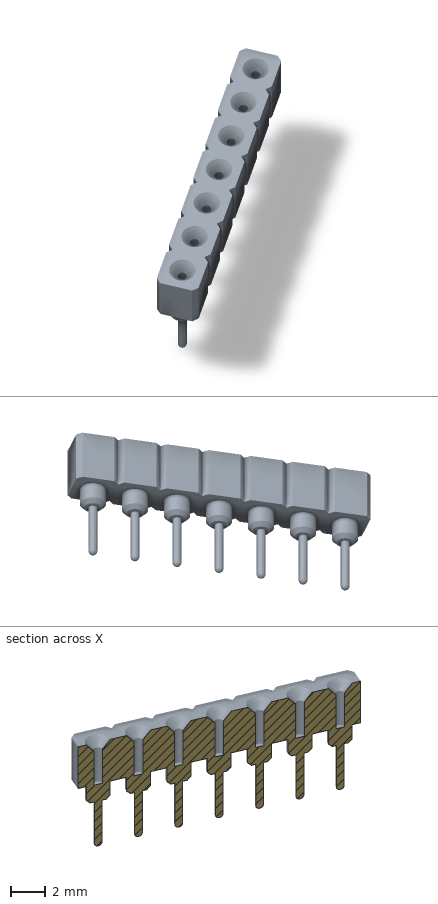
import cadquery as cq

contact_count = 7
strip_length = 17.78
pitch = strip_length / contact_count
body_width = 2.55
body_height = 3.0
corner_chamfer = 0.3

contact_diameter = 1.53
contact_bottom_depth = 4.23
collar_chamfer = 0.25

pin_diameter = 0.52
overall_height = 7.43

funnel_depth = 0.59
bore_depth = body_height

contact_radius = contact_diameter / 2
pin_radius = pin_diameter / 2
bore_radius = pin_radius

contact_points = [(0, (i - (contact_count - 1) / 2) * pitch) for i in range(contact_count)]


def housing():
    """Row of square cells whose chamfered corners leave V grooves between neighbours."""
    half_width = body_width / 2
    half_pitch = pitch / 2
    cell_outline = [
        (half_width - corner_chamfer, -half_pitch),
        (half_width, -half_pitch + corner_chamfer),
        (half_width, half_pitch - corner_chamfer),
        (half_width - corner_chamfer, half_pitch),
        (-half_width + corner_chamfer, half_pitch),
        (-half_width, half_pitch - corner_chamfer),
        (-half_width, -half_pitch + corner_chamfer),
        (-half_width + corner_chamfer, -half_pitch),
    ]
    cell = cq.Workplane("XY").polyline(cell_outline).close().extrude(-body_height)
    row = cq.Workplane("XY")
    for x, y in contact_points:
        row = row.union(cell.translate((x, y, 0)))
    return row.clean()


def contact():
    """Chamfered collar with a round-ended pin, revolved about Z."""
    tip_start = -overall_height + pin_radius
    tip_mid = (pin_radius * 0.5 ** 0.5, tip_start - pin_radius * 0.5 ** 0.5)
    return (
        cq.Workplane("XZ")
        .moveTo(0, -body_height)
        .lineTo(contact_radius, -body_height)
        .lineTo(contact_radius, -contact_bottom_depth + collar_chamfer)
        .lineTo(contact_radius - collar_chamfer, -contact_bottom_depth)
        .lineTo(pin_radius, -contact_bottom_depth)
        .lineTo(pin_radius, tip_start)
        .threePointArc(tip_mid, (0, -overall_height))
        .close()
        .revolve(360, (0, 0, 0), (0, 1, 0))
    )


def socket():
    """Lead-in funnel that narrows to a blind bore, revolved about Z."""
    return (
        cq.Workplane("XZ")
        .polyline([
            (0, 0),
            (contact_radius, 0),
            (bore_radius, -funnel_depth),
            (bore_radius, -bore_depth),
            (0, -bore_depth),
        ])
        .close()
        .revolve(360, (0, 0, 0), (0, 1, 0))
    )


result = housing()
for x, y in contact_points:
    result = result.union(contact().translate((x, y, 0)))
    result = result.cut(socket().translate((x, y, 0)))